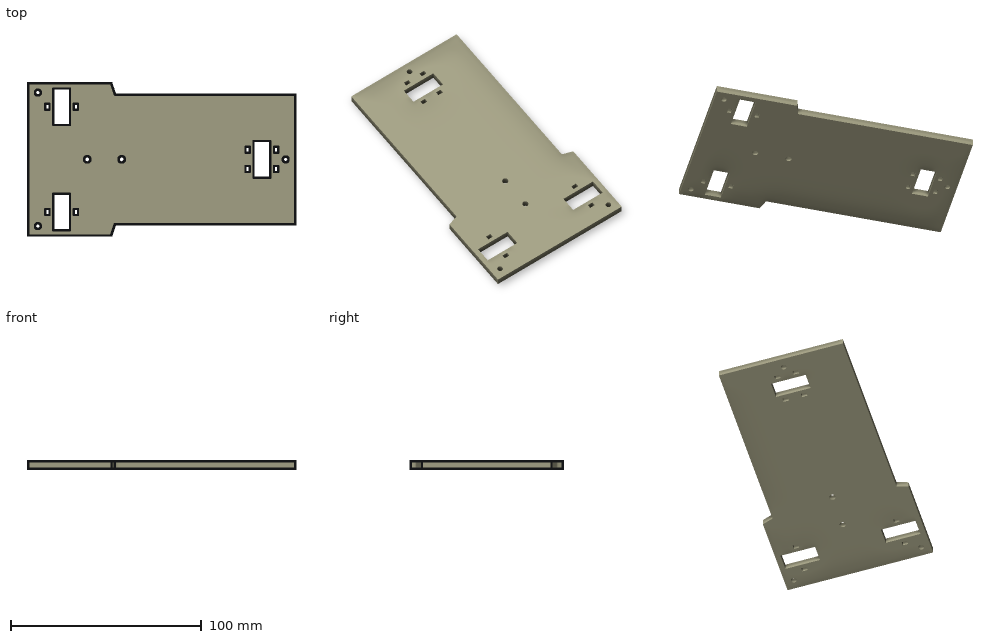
import cadquery as cq

length = 140.0
head_width = 80.0
body_width = 68.0
thickness = 4.0
head_length = 43.5
taper_length = 2.0

window_length = 8.7
window_width = 19.0
window_inset = 17.5
head_window_offset = 27.6
slot_length = 2.1
slot_width = 3.0
slot_pitch_x = 14.8
slot_pitch_y = 10.1

end_hole_diameter = 3.0
end_hole_inset = 5.0
head_hole_offset = 35.0
middle_hole_diameter = 3.2
middle_hole_distances = (31.0, 49.0)

head_end = -length / 2
body_end = length / 2
head_window_x = head_end + window_inset
body_window_x = body_end - window_inset


def make_plate():
    shoulder_x = head_end + head_length
    taper_end_x = shoulder_x + taper_length
    upper_edge = [
        (head_end, head_width / 2),
        (shoulder_x, head_width / 2),
        (taper_end_x, body_width / 2),
        (body_end, body_width / 2),
    ]
    lower_edge = [(x, -y) for x, y in reversed(upper_edge)]
    return cq.Workplane("XY").polyline(upper_edge + lower_edge).close().extrude(thickness)


def rectangular_cutters(centres, size_x, size_y):
    return cq.Workplane("XY").pushPoints(centres).rect(size_x, size_y).extrude(thickness)


def round_cutters(centres, diameter):
    return cq.Workplane("XY").pushPoints(centres).circle(diameter / 2).extrude(thickness)


window_centres = [(body_window_x, 0)]
slot_centres = []
for side in (-1, 1):
    window_y = side * head_window_offset
    window_centres.append((head_window_x, window_y))
    for end in (-1, 1):
        slot_shift = end * slot_pitch_x / 2
        slot_centres.append((head_window_x + slot_shift, window_y))
        slot_centres.append((body_window_x + slot_shift, side * slot_pitch_y / 2))

end_hole_centres = [
    (head_end + end_hole_inset, -head_hole_offset),
    (head_end + end_hole_inset, head_hole_offset),
    (body_end - end_hole_inset, 0),
]
middle_hole_centres = [(head_end + distance, 0) for distance in middle_hole_distances]

result = (
    make_plate()
    .cut(rectangular_cutters(window_centres, window_length, window_width))
    .cut(rectangular_cutters(slot_centres, slot_length, slot_width))
    .cut(round_cutters(end_hole_centres, end_hole_diameter))
    .cut(round_cutters(middle_hole_centres, middle_hole_diameter))
)